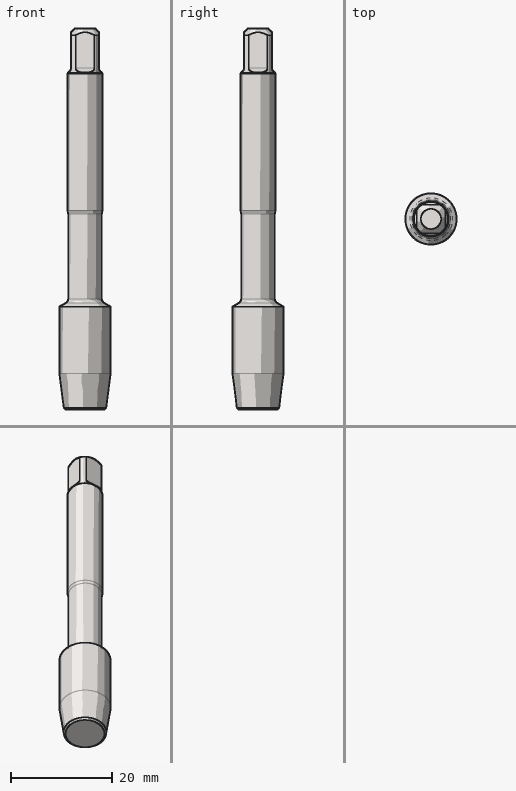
import cadquery as cq
import math

head_d = 10.15
head_top_z = 20.3
lead_length = 7.15
lead_tip_d = 8.4
tip_d = 7.7
tip_chamfer_height = 0.4

total_length = 75.2
neck_d = 6.7
shank_d = 7.0
shoulder_angle = math.radians(30)
neck_fillet = 0.9
shank_bottom_z = 39.3
shank_step_height = 0.7
shank_top_z = 66.25
shank_chamfer_height = 0.2

drive_corner_d = 6.7
across_flats = 5.6
flat_foot_z = 66.4
flat_foot_fillet = 1.0
drive_tip_d = 4.0


def make_head():
    """Solid head with a tapered lead and a small chamfer at the tip."""
    return (
        cq.Workplane("XZ")
        .moveTo(0, 0)
        .lineTo(tip_d / 2, 0)
        .lineTo(lead_tip_d / 2, tip_chamfer_height)
        .lineTo(head_d / 2, lead_length)
        .lineTo(head_d / 2, head_top_z)
        .lineTo(0, head_top_z)
        .close()
        .revolve(360, (0, 0, 0), (0, 1, 0))
    )


def make_shank_blank():
    """Turned shank: shoulder cone blended into the neck, shank and chamfered drive end."""
    neck_r = neck_d / 2
    drive_r = drive_corner_d / 2
    drive_tip_r = drive_tip_d / 2

    arc_center_r = neck_r + neck_fillet
    cone_meets_neck_z = head_top_z + (head_d / 2 - neck_r) * math.tan(shoulder_angle)
    turn = math.pi / 2 - shoulder_angle
    arc_top_z = cone_meets_neck_z + neck_fillet * math.tan(turn / 2)

    def arc_point(angle):
        return arc_center_r - neck_fillet * math.cos(angle), arc_top_z - neck_fillet * math.sin(angle)

    return (
        cq.Workplane("XZ")
        .moveTo(0, head_top_z)
        .lineTo(head_d / 2, head_top_z)
        .lineTo(*arc_point(turn))
        .threePointArc(arc_point(turn / 2), arc_point(0))
        .lineTo(neck_r, shank_bottom_z - shank_step_height)
        .lineTo(shank_d / 2, shank_bottom_z)
        .lineTo(shank_d / 2, shank_top_z)
        .lineTo(drive_r, shank_top_z + shank_chamfer_height)
        .lineTo(drive_r, total_length - (drive_r - drive_tip_r))
        .lineTo(drive_tip_r, total_length)
        .lineTo(0, total_length)
        .close()
        .revolve(360, (0, 0, 0), (0, 1, 0))
    )


def make_flat_cutter():
    """Block that cuts one drive flat, with a rounded edge at the foot of the flat."""
    return (
        cq.Workplane("XY", origin=(0, 0, flat_foot_z))
        .center(across_flats / 2 + shank_d / 2, 0)
        .rect(shank_d, 2 * shank_d)
        .extrude(total_length - flat_foot_z)
        .edges("<X and <Z")
        .fillet(flat_foot_fillet)
    )


def make_shank():
    """Shank with four flats forming the square drive."""
    shank = make_shank_blank()
    cutter = make_flat_cutter()
    for side in range(4):
        shank = shank.cut(cutter.rotate((0, 0, 0), (0, 0, 1), 90 * side))
    return shank


head = make_head()
shank = make_shank()

result = cq.Compound.makeCompound([head.val(), shank.val()])